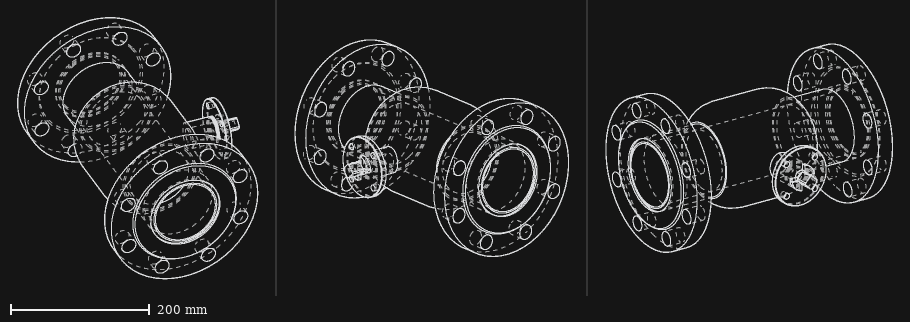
import cadquery as cq
import math


face_to_face = 350.0
flange_diameter = 230.0
flange_thickness = 25.0
raised_face_diameter = 162.5
raised_face_height = 3.0
raised_face_taper = 2.3
bolt_circle = 190.0
bolt_hole_diameter = 22.0
bolt_count = 8
bolt_pattern_tilt = 0.75

pipe_diameter = 108.5
bevel_tip_diameter = 98.5
bevel_length = 3.0
counterbore_diameter = 94.0
counterbore_depth = 13.0
bore_taper_length = 16.0
bore_diameter = 91.5

body_center_x = -0.6
body_length = 160.0
body_straight_length = 76.0
body_diameter = 159.0
body_end_diameter = 113.5

neck_diameter = 38.8
neck_shoulder_y = 116.8
neck_groove_diameter = 34.6
neck_groove_width = 2.0

plate_diameter = 90.0
plate_bottom_y = 120.5
plate_thickness = 8.8
plate_chamfer = 0.8
plate_bolt_circle = 70.0
plate_hole_diameter = 9.0
plate_hole_count = 4

stem_diameter = 20.3
stem_top_y = 155.5
stem_square_side = 16.3
stop_diameter = 38.8
stop_height = 6.2
pin_diameter = 5.0

body_start_x = body_center_x - body_length / 2
body_end_x = body_center_x + body_length / 2
plate_top_y = plate_bottom_y + plate_thickness
stop_top_y = plate_top_y + stop_height
neck_top_y = neck_shoulder_y + neck_groove_width


def cylinder_y(diameter, start_y, end_y):
    """Upright cylinder about the stem axis."""
    plane = cq.Workplane("XZ", origin=(body_center_x, start_y, 0))
    return plane.circle(diameter / 2).extrude(start_y - end_y)


def revolve_about_x(profile):
    return profile.close().revolve(360, (0, 0, 0), (1, 0, 0))


def make_flange(side):
    """Flange at the end given by side: -1 for the -X end, +1 for the +X end."""
    face_x = side * face_to_face / 2
    rim_x = face_x - side * raised_face_height
    back_x = rim_x - side * flange_thickness
    raised_radius = raised_face_diameter / 2
    profile = (
        cq.Workplane("XY")
        .moveTo(face_x, pipe_diameter / 2)
        .lineTo(face_x, raised_radius - raised_face_taper)
        .lineTo(rim_x, raised_radius)
        .lineTo(rim_x, flange_diameter / 2)
        .lineTo(back_x, flange_diameter / 2)
        .lineTo(back_x, pipe_diameter / 2)
    )
    first_hole_angle = 180 / bolt_count + bolt_pattern_tilt
    bolt_holes = (
        cq.Workplane("YZ", origin=(back_x, 0, 0))
        .polarArray(bolt_circle / 2, first_hole_angle, 360, bolt_count)
        .circle(bolt_hole_diameter / 2)
        .extrude(side * flange_thickness)
    )
    return revolve_about_x(profile).cut(bolt_holes)


def make_pipe(side, inner_x):
    """Pipe from the valve body out to the flange face, with a bevelled, counterbored end."""
    tip_x = side * face_to_face / 2
    bevel_x = tip_x - side * bevel_length
    taper_start_x = tip_x - side * counterbore_depth
    taper_end_x = taper_start_x - side * bore_taper_length
    profile = (
        cq.Workplane("XY")
        .moveTo(inner_x, bore_diameter / 2)
        .lineTo(taper_end_x, bore_diameter / 2)
        .lineTo(taper_start_x, counterbore_diameter / 2)
        .lineTo(tip_x, counterbore_diameter / 2)
        .lineTo(tip_x, bevel_tip_diameter / 2)
        .lineTo(bevel_x, pipe_diameter / 2)
        .lineTo(inner_x, pipe_diameter / 2)
    )
    return revolve_about_x(profile)


def make_body():
    """Barrel with shoulders curving in from the straight middle, bored through."""
    radius = body_diameter / 2
    end_radius = body_end_diameter / 2
    straight_start_x = body_center_x - body_straight_length / 2
    straight_end_x = body_center_x + body_straight_length / 2
    shoulder_length = (body_length - body_straight_length) / 2
    drop = radius - end_radius
    arc_radius = (shoulder_length**2 + drop**2) / (2 * drop)
    half_angle = math.asin(shoulder_length / arc_radius) / 2
    mid_offset = arc_radius * math.sin(half_angle)
    mid_radius = radius - arc_radius * (1 - math.cos(half_angle))
    profile = (
        cq.Workplane("XY")
        .moveTo(body_start_x, bore_diameter / 2)
        .lineTo(body_start_x, end_radius)
        .threePointArc((straight_start_x - mid_offset, mid_radius), (straight_start_x, radius))
        .lineTo(straight_end_x, radius)
        .threePointArc((straight_end_x + mid_offset, mid_radius), (body_end_x, end_radius))
        .lineTo(body_end_x, bore_diameter / 2)
    )
    return revolve_about_x(profile)


def body_barrel():
    """Solid cylinder of the body's straight middle, on which the neck and stem sit."""
    plane = cq.Workplane("YZ", origin=(body_center_x, 0, 0))
    return plane.circle(body_diameter / 2).extrude(body_straight_length / 2, both=True)


def make_neck():
    sleeve = cylinder_y(neck_diameter, 0, neck_shoulder_y)
    groove_core = cylinder_y(neck_groove_diameter, neck_shoulder_y, neck_top_y)
    stem_hole = cylinder_y(stem_diameter, 0, neck_top_y)
    return sleeve.union(groove_core).cut(stem_hole).cut(body_barrel())


def make_plate():
    """Round mounting plate with a collar under it that rests on the neck."""
    disc = cylinder_y(plate_diameter, plate_bottom_y, plate_top_y).edges().chamfer(plate_chamfer)
    collar = cylinder_y(neck_diameter, neck_top_y, plate_bottom_y)
    stem_hole = cylinder_y(stem_diameter, neck_top_y, plate_top_y)
    bolt_holes = (
        cq.Workplane("XZ", origin=(body_center_x, plate_bottom_y, 0))
        .polarArray(plate_bolt_circle / 2, 180 / plate_hole_count, 360, plate_hole_count)
        .circle(plate_hole_diameter / 2)
        .extrude(-plate_thickness)
    )
    return disc.union(collar).cut(stem_hole).cut(bolt_holes)


def make_pin():
    """Pin across the stem, as long as the stops are wide."""
    pin_y = (plate_top_y + stop_top_y) / 2
    plane = cq.Workplane("YZ", origin=(body_center_x, pin_y, 0))
    return plane.circle(pin_diameter / 2).extrude(stop_diameter / 2, both=True)


def make_stem(pin):
    """Round shaft with two opposite stop sectors and a square, round-cornered drive end."""
    shaft = cylinder_y(stem_diameter, 0, stop_top_y).cut(body_barrel())
    square = (
        cq.Workplane("XZ", origin=(body_center_x, stop_top_y, 0))
        .transformed(rotate=(0, 0, 45))
        .rect(stem_square_side, stem_square_side)
        .extrude(stop_top_y - stem_top_y)
        .intersect(cylinder_y(stem_diameter, stop_top_y, stem_top_y))
    )
    stem = shaft.union(square)
    sector_center = (pin_diameter + stop_diameter) / 2
    quadrants = (
        cq.Workplane("XZ", origin=(body_center_x, plate_top_y, 0))
        .pushPoints([(-sector_center, sector_center), (sector_center, -sector_center)])
        .rect(stop_diameter, stop_diameter)
        .extrude(-stop_height)
    )
    stops = cylinder_y(stop_diameter, plate_top_y, stop_top_y).intersect(quadrants)
    return stem.union(stops).cut(pin)


flanges = [make_flange(side) for side in (-1, 1)]
pipes = [make_pipe(-1, body_start_x), make_pipe(1, body_end_x)]
body = make_body()
neck = make_neck()
plate = make_plate()
pin = make_pin()
stem = make_stem(pin)

bodies = [*flanges, *pipes, body, neck, plate, stem, pin]
result = cq.Compound.makeCompound([part.val() for part in bodies])